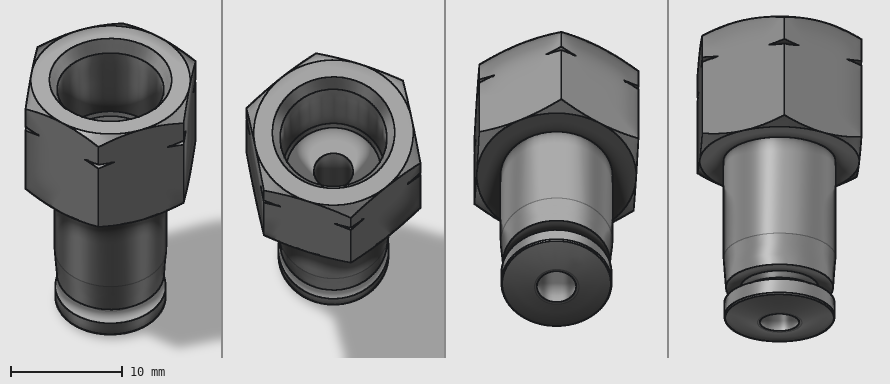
import cadquery as cq
import math

total_height = 27.0
nut_height = 11.0
nut_bottom = total_height - nut_height
taper_top = 6.48
taper_bottom = 3.45
collar_bottom = 2.78
flange_top = 1.92
flange_edge = 0.6
dome_height = 0.43

across_flats = 14.28
across_corners = across_flats / math.cos(math.radians(30))
corner_chamfer_angle = 30.0
notch_below_top = 3.02
notch_half_height = 0.25
notch_depth = 0.65

body_diameter = 10.05
taper_end_diameter = 9.6
collar_diameter = 7.0
neck_diameter = 5.97
neck_fillet = 0.32
flange_diameter = 9.9
dome_diameter = 9.72
button_face_diameter = 3.97

socket_mouth_diameter = 10.95
socket_mouth_depth = 1.13
socket_top_diameter = 9.55
socket_end_diameter = 9.13
socket_taper = 1 / 16
socket_floor_diameter = 8.53
socket_floor_chamfer_angle = 45.0
through_diameter = 3.5


def revolve_profile(profile):
    """Revolve a closed (radius, height) profile drawn in XZ around the Z axis."""
    return profile.close().revolve(360, (0, 0, 0), (0, 1, 0))


def make_nut():
    """Hexagon with corners on the Y axis, chamfered ends and a V groove across its corners."""
    nut = (
        cq.Workplane("XY", origin=(0, 0, nut_bottom))
        .polygon(6, across_corners)
        .extrude(nut_height)
        .rotate((0, 0, 0), (0, 0, 1), 90)
    )
    flat_radius = across_flats / 2
    corner_radius = across_corners / 2
    chamfer_drop = (corner_radius - flat_radius) * math.tan(math.radians(corner_chamfer_angle))
    notch_height = total_height - notch_below_top
    envelope = revolve_profile(
        cq.Workplane("XZ")
        .moveTo(0, nut_bottom)
        .lineTo(flat_radius, nut_bottom)
        .lineTo(corner_radius, nut_bottom + chamfer_drop)
        .lineTo(corner_radius, notch_height - notch_half_height)
        .lineTo(corner_radius - notch_depth, notch_height)
        .lineTo(corner_radius, notch_height + notch_half_height)
        .lineTo(corner_radius, total_height - chamfer_drop)
        .lineTo(flat_radius, total_height)
        .lineTo(0, total_height)
    )
    return nut.intersect(envelope)


def make_stem():
    """Round body, tapered end, collar, neck and release button as one turned piece."""
    neck_radius = neck_diameter / 2
    flange_radius = flange_diameter / 2
    dome_radius = dome_diameter / 2
    face_radius = button_face_diameter / 2
    squared_radius_gap = dome_radius**2 - face_radius**2
    centre_height = (squared_radius_gap + dome_height**2) / (2 * dome_height)
    sphere_radius = math.hypot(face_radius, centre_height)
    return revolve_profile(
        cq.Workplane("XZ")
        .lineTo(face_radius, 0)
        .radiusArc((dome_radius, dome_height), -sphere_radius)
        .lineTo(flange_radius, flange_edge)
        .lineTo(flange_radius, flange_top)
        .lineTo(neck_radius + neck_fillet, flange_top)
        .radiusArc((neck_radius, flange_top + neck_fillet), neck_fillet)
        .lineTo(neck_radius, collar_bottom)
        .lineTo(collar_diameter / 2, collar_bottom)
        .lineTo(collar_diameter / 2, taper_bottom)
        .lineTo(taper_end_diameter / 2, taper_bottom)
        .lineTo(body_diameter / 2, taper_top)
        .lineTo(body_diameter / 2, nut_bottom)
        .lineTo(0, nut_bottom)
    )


def make_bore():
    """Countersunk tapered socket with a chamfered floor, continued by the through hole."""
    taper_start = total_height - socket_mouth_depth
    taper_end = taper_start - (socket_top_diameter - socket_end_diameter) / socket_taper
    floor_chamfer_width = (socket_end_diameter - socket_floor_diameter) / 2
    floor_chamfer_height = floor_chamfer_width / math.tan(math.radians(socket_floor_chamfer_angle))
    socket_floor = taper_end - floor_chamfer_height
    return revolve_profile(
        cq.Workplane("XZ")
        .lineTo(through_diameter / 2, 0)
        .lineTo(through_diameter / 2, socket_floor)
        .lineTo(socket_floor_diameter / 2, socket_floor)
        .lineTo(socket_end_diameter / 2, taper_end)
        .lineTo(socket_top_diameter / 2, taper_start)
        .lineTo(socket_mouth_diameter / 2, total_height)
        .lineTo(0, total_height)
    )


result = make_nut().union(make_stem()).cut(make_bore())